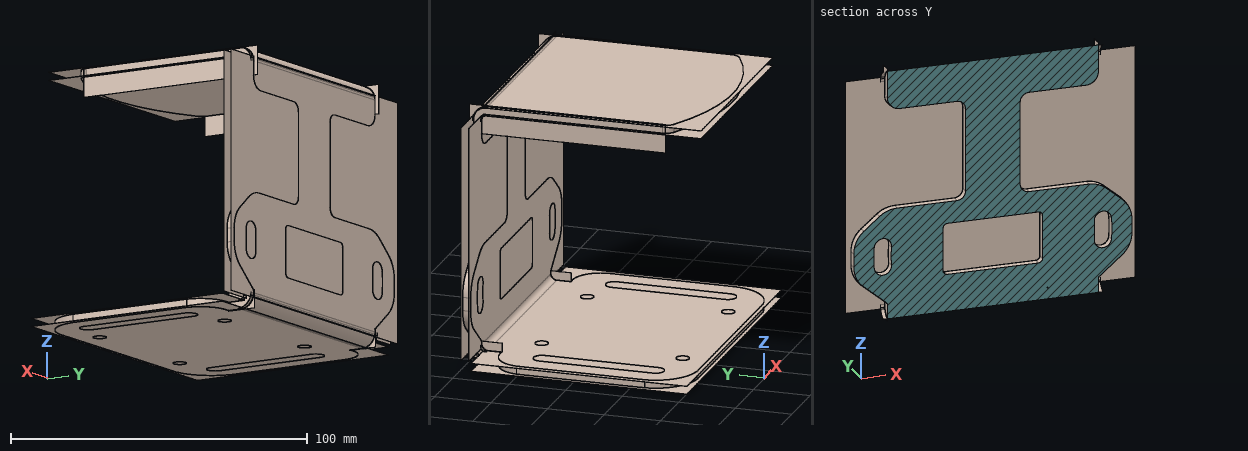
import cadquery as cq
import math


overall_width = 104.0
height = 90.1
thickness = 3.0
inner_bend_radius = 2.1
outer_bend_radius = inner_bend_radius + thickness
bend_half_width = 38.0
bend_top = height - outer_bend_radius

overrun = 0.02
cover_depth = 0.06
cover_thickness = 0.1
base_half_width = overall_width / 2 / (1 + 2 * overrun)

lobe_center_z = 23.1
lobe_half_height = 17.0
lobe_flat_half_height = 7.1
lobe_radius = 10.0
lobe_bottom = lobe_center_z - lobe_half_height
lobe_top = lobe_center_z + lobe_half_height
neck_half_width = 9.9
neck_radius = 3.0
neck_top = 75.4
head_radius = 4.6
window_width = 35.6
window_height = 18.1
window_radius = 1.5
slot_radius = 3.0
slot_offset = 39.6
slot_half_angle = 5.0

base_back = -10.0
base_front = -78.6
base_back_radius = 10.0
base_front_radius = 15.0
base_pattern_y = -44.9
base_slot_length = 46.2
hole_spacing = 49.9
hole_diameter = 4.6

top_front = -79.6
top_front_radius = 74.4
top_corner_radius = 4.0

top_strip_back = 1.5
top_strip_front = -68.0
top_strip_bottom = 80.1
base_strip_front = -10.2
base_strip_back = 0.2
base_strip_height = 6.1
top_strip_rise = 0.2
base_strip_drop = 0.1


def block(x_range, y_range, z_range):
    """Box between the given limits."""
    low, high = zip(x_range, y_range, z_range)
    sizes = [b - a for a, b in zip(low, high)]
    return cq.Workplane("XY").box(*sizes, centered=False).translate(low)


def both_sides(body):
    """The body and its mirror image across X = 0."""
    return body.union(body.mirror("YZ"))


def round_corners(body, corners, radius):
    """Fillet the edge nearest to each corner."""
    for corner in corners:
        body = body.edges(cq.selectors.NearestToPointSelector(corner)).fillet(radius)
    return body


def symmetric_outline(plane, right_side):
    """Closed outline from its +X points, listed in order, and their mirror images."""
    left_side = [(-x, v) for x, v in reversed(right_side)]
    return cq.Workplane(plane).polyline(right_side + left_side).close()


def bend(center_z, inner_radius, outer_radius, half_width):
    """Quarter ring joining the upright to the plate below (or above) its centre."""
    ring = (
        cq.Workplane("YZ", origin=(-half_width, 0, 0))
        .center(-outer_bend_radius, center_z)
        .circle(outer_radius)
        .circle(inner_radius)
        .extrude(2 * half_width)
    )
    z_range = (0, center_z) if center_z < height / 2 else (center_z, height)
    return ring.intersect(block((-half_width, half_width), (-outer_bend_radius, 0), z_range))


def arc_slot():
    """Slot on the +X side, curved about the middle of the window."""

    def polar(radius, degrees):
        angle = math.radians(degrees)
        return radius * math.cos(angle), lobe_center_z + radius * math.sin(angle)

    inner = slot_offset - slot_radius
    outer = slot_offset + slot_radius
    end = slot_half_angle
    cap = end + math.degrees(slot_radius / slot_offset)
    return (
        cq.Workplane("XZ")
        .moveTo(*polar(inner, -end))
        .threePointArc(polar(inner, 0), polar(inner, end))
        .threePointArc(polar(slot_offset, cap), polar(outer, end))
        .threePointArc(polar(outer, 0), polar(outer, -end))
        .threePointArc(polar(slot_offset, -cap), polar(inner, -end))
        .close()
        .extrude(thickness)
    )


def back_plate():
    flat_low = lobe_center_z - lobe_flat_half_height
    flat_high = lobe_center_z + lobe_flat_half_height
    lobe_side = [(base_half_width, flat_low), (base_half_width, flat_high)]
    shoulder = (bend_half_width, lobe_top)
    neck_corners = [(neck_half_width, lobe_top), (neck_half_width, neck_top)]
    head_corner = (bend_half_width, neck_top)
    right_side = [
        (bend_half_width, outer_bend_radius),
        (bend_half_width, lobe_bottom),
        *lobe_side,
        shoulder,
        *neck_corners,
        head_corner,
        (bend_half_width, bend_top),
    ]
    plate = symmetric_outline("XZ", right_side).extrude(thickness)

    rounded = [
        (lobe_side + [shoulder], lobe_radius),
        (neck_corners, neck_radius),
        ([head_corner], head_radius),
    ]
    for corners, radius in rounded:
        edges = [(side * x, -thickness / 2, z) for x, z in corners for side in (1, -1)]
        plate = round_corners(plate, edges, radius)

    window = (
        cq.Workplane("XZ")
        .center(0, lobe_center_z)
        .rect(window_width, window_height)
        .extrude(thickness)
        .edges("|Y")
        .fillet(window_radius)
    )
    return plate.cut(window).cut(both_sides(arc_slot()))


def base_plate():
    right_side = [
        (bend_half_width, -outer_bend_radius),
        (bend_half_width, base_back),
        (base_half_width, base_back),
        (base_half_width, base_front),
    ]
    plate = symmetric_outline("XY", right_side).extrude(thickness)
    for y, radius in [(base_back, base_back_radius), (base_front, base_front_radius)]:
        corners = [(side * base_half_width, y, thickness / 2) for side in (1, -1)]
        plate = round_corners(plate, corners, radius)

    pattern = cq.Workplane("XY").center(0, base_pattern_y)
    slots = (
        pattern.pushPoints([(-slot_offset, 0), (slot_offset, 0)])
        .slot2D(base_slot_length, 2 * slot_radius, 90)
        .extrude(thickness)
    )
    holes = pattern.rarray(hole_spacing, hole_spacing, 2, 2).circle(hole_diameter / 2).extrude(thickness)
    return plate.cut(slots).cut(holes)


def top_plate():
    arc_drop = top_front_radius - math.sqrt(top_front_radius**2 - bend_half_width**2)
    corner_y = top_front + arc_drop
    plate = (
        cq.Workplane("XY")
        .workplane(offset=height - thickness)
        .moveTo(-bend_half_width, -outer_bend_radius)
        .lineTo(-bend_half_width, corner_y)
        .threePointArc((0, top_front), (bend_half_width, corner_y))
        .lineTo(bend_half_width, -outer_bend_radius)
        .close()
        .extrude(thickness)
    )
    corners = [(side * bend_half_width, corner_y, height - thickness / 2) for side in (1, -1)]
    return round_corners(plate, corners, top_corner_radius)


def past_ends(start, end):
    """Limits of a cover over a face that runs from start to end."""
    extra = overrun * (end - start)
    return start - extra, end + extra


def sheet_pair(low, high):
    """Limits of the two covers just inside a plate that lies between low and high."""
    deep = cover_depth + cover_thickness
    return [(low + cover_depth, low + deep), (high - deep, high - cover_depth)]


def plate_covers():
    full_width = past_ends(-base_half_width, base_half_width)
    bend_width = past_ends(-bend_half_width, bend_half_width)
    upright_z = past_ends(outer_bend_radius, bend_top)
    base_y = past_ends(base_front, -outer_bend_radius)
    top_y = past_ends(top_front, -outer_bend_radius)
    covers = [block(full_width, y, upright_z) for y in sheet_pair(-thickness, 0)]
    covers += [block(full_width, base_y, z) for z in sheet_pair(0, thickness)]
    covers += [block(bend_width, top_y, z) for z in sheet_pair(height - thickness, height)]
    return covers


def bend_covers():
    half_width = bend_half_width * (1 + 2 * overrun)
    return [
        bend(center_z, *radii, half_width)
        for center_z in (outer_bend_radius, bend_top)
        for radii in sheet_pair(inner_bend_radius, outer_bend_radius)
    ]


def side_strips():
    strip_x = sheet_pair(-bend_half_width, bend_half_width)[1]
    top_y = (top_strip_front, top_strip_back)
    top_z = (top_strip_bottom, height + top_strip_rise)
    base_y = (base_strip_front, base_strip_back)
    base_z = (-base_strip_drop, base_strip_height)
    return [both_sides(block(strip_x, y, z)) for y, z in ((top_y, top_z), (base_y, base_z))]


def base_rim_covers():
    """Flat strips on the straight rims of the base, running past the start of the round corners."""
    straight_y = past_ends(base_front + base_front_radius, base_back - base_back_radius)
    straight_half_width = base_half_width - base_front_radius
    straight_x = past_ends(-straight_half_width, straight_half_width)
    rim_x = (base_half_width - cover_thickness, base_half_width)
    rim_y = (base_front, base_front + cover_thickness)
    rim_z = (0, thickness)
    return [both_sides(block(rim_x, straight_y, rim_z)), block(straight_x, rim_y, rim_z)]


result = back_plate().union(base_plate()).union(top_plate())
for bend_center_z in (outer_bend_radius, bend_top):
    result = result.union(bend(bend_center_z, inner_bend_radius, outer_bend_radius, bend_half_width))
for cover in plate_covers() + bend_covers() + side_strips() + base_rim_covers():
    result = result.union(cover)